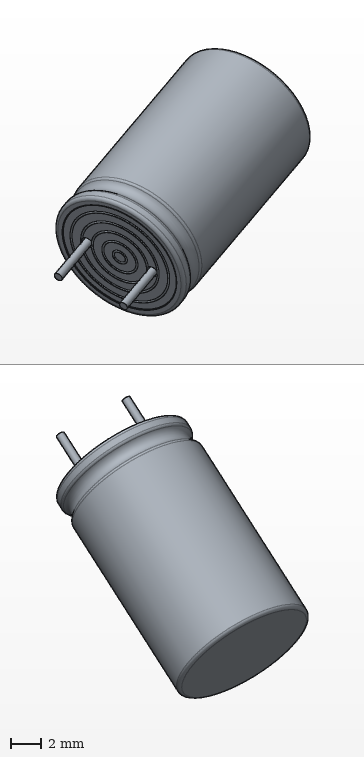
import cadquery as cq
import math


can_radius = 10.0 / 2
can_length = 15.99
overall_length = 19.57
end_fillet = 0.25

groove_y = 1.47
groove_depth = 0.35
groove_radius = 0.7
groove_edge_fillet = 0.25

ridge_count = 5
ridge_radius = 0.075
first_ridge_radius = 1.0 / 2
last_ridge_radius = 7.51 / 2
ridge_spacing = (last_ridge_radius - first_ridge_radius) / (ridge_count - 1)
recess_radius = 8.7 / 2
recess_depth = ridge_radius
step_radius = 8.8 / 2
step_depth = recess_depth / 2

lead_diameter = 0.6
lead_hole_diameter = 0.8
lead_pitch = 5.01
lead_positions = (-lead_pitch / 2, lead_pitch / 2)
lead_reach = overall_length - can_length
lead_hole_depth = 0.5
lead_hole_floor = recess_depth + lead_hole_depth


def can_profile():
    """Half section of the can in the XY plane, with X as the radius."""
    centre_distance = groove_radius + groove_edge_fillet
    half_width = math.sqrt(centre_distance**2 - (centre_distance - groove_depth) ** 2)
    wall_angle = math.asin(half_width / centre_distance)
    groove_floor = can_radius - groove_depth
    edge_centre = can_radius - groove_edge_fillet

    edge_middle_x = edge_centre + groove_edge_fillet * math.cos(wall_angle / 2)
    edge_middle_y = half_width - groove_edge_fillet * math.sin(wall_angle / 2)
    tangent_x = groove_floor + groove_radius * (1 - math.cos(wall_angle))
    tangent_y = groove_radius * math.sin(wall_angle)

    return (
        cq.Workplane("XY")
        .lineTo(can_radius, 0)
        .lineTo(can_radius, groove_y - half_width)
        .threePointArc((edge_middle_x, groove_y - edge_middle_y), (tangent_x, groove_y - tangent_y))
        .threePointArc((groove_floor, groove_y), (tangent_x, groove_y + tangent_y))
        .threePointArc((edge_middle_x, groove_y + edge_middle_y), (can_radius, groove_y + half_width))
        .lineTo(can_radius, can_length)
        .lineTo(0, can_length)
        .close()
    )


def disc(radius, start_y, end_y, centre_x=0):
    """Solid cylinder parallel to Y between two Y positions."""
    return (
        cq.Workplane("XZ", origin=(centre_x, start_y, 0))
        .circle(radius)
        .extrude(start_y - end_y)
    )


def ridge(radius):
    """Full-round ring whose half away from the recess floor shows as a ridge."""
    return (
        cq.Workplane("XY")
        .center(radius, recess_depth)
        .circle(ridge_radius)
        .revolve(360, (-radius, 0), (-radius, 1))
    )


def make_can():
    """Turned can with its end recess, ridges and lead holes."""
    can = can_profile().revolve(360, (0, 0), (0, 1))
    can = can.faces("<Y or >Y").edges().fillet(end_fillet)
    can = can.cut(disc(step_radius, 0, step_depth))
    can = can.cut(disc(recess_radius, 0, recess_depth))
    for index in range(ridge_count):
        can = can.union(ridge(first_ridge_radius + index * ridge_spacing))
    for lead_x in lead_positions:
        can = can.cut(disc(lead_hole_diameter / 2, 0, lead_hole_floor, lead_x))
    return can


def make_lead(lead_x):
    """Round wire standing on the floor of its clearance hole."""
    return disc(lead_diameter / 2, -lead_reach, lead_hole_floor, lead_x)


can = make_can()
leads = [make_lead(lead_x) for lead_x in lead_positions]

result = cq.Compound.makeCompound([can.solids().val(), *[lead.val() for lead in leads]])